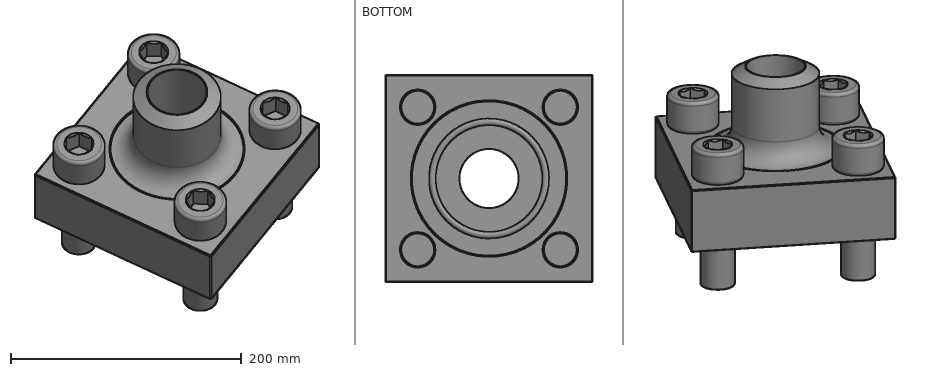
import cadquery as cq
import math


plate_width = 180.0
plate_thickness = 58.0
edge_chamfer = 1.0
plate_bore_diameter = 115.5
collar_recess_diameter = 136.0
bolt_hole_diameter = 31.0
bolt_spacing = 123.7

pipe_diameter = 76.1
pipe_bore_diameter = 51.1
hub_diameter = 115.0
collar_diameter = 135.0
collar_thickness = 25.2
collar_projection = 2.2
collar_chamfer = 0.7
neck_rise = 74.9
bevel_angle = 30.0
bevel_top_diameter = 53.0

groove_inner_diameter = 92.5
groove_outer_diameter = 104.2
seal_projection = 1.5

bolt_diameter = 30.0
bolt_length = 100.0
bolt_end_chamfer = 0.9
head_diameter = 45.0
head_height = bolt_diameter
head_edge_radius = 3.0
socket_corner_diameter = 25.4
socket_depth = 18.0
socket_chamfer_angle = 45.0

seal_section = (groove_outer_diameter - groove_inner_diameter) / 2
collar_bottom = -collar_projection
collar_top = collar_bottom + collar_thickness
neck_top = plate_thickness + neck_rise
seal_bottom = collar_bottom - seal_projection
groove_floor = seal_bottom + seal_section


def make_plate():
    """Chamfered square plate with a stepped bore for the neck and four bolt holes."""
    plate = (
        cq.Workplane("XY")
        .box(plate_width, plate_width, plate_thickness, centered=(True, True, False))
        .edges()
        .chamfer(edge_chamfer)
    )
    bore = (
        cq.Workplane("XY")
        .circle(plate_bore_diameter / 2)
        .extrude(plate_thickness - edge_chamfer)
        .faces(">Z")
        .workplane()
        .circle(plate_bore_diameter / 2)
        .workplane(offset=edge_chamfer)
        .circle(plate_bore_diameter / 2 + edge_chamfer)
        .loft()
    )
    collar_recess = cq.Workplane("XY").circle(collar_recess_diameter / 2).extrude(collar_top)
    bolt_holes = (
        cq.Workplane("XY")
        .rect(bolt_spacing, bolt_spacing, forConstruction=True)
        .vertices()
        .circle(bolt_hole_diameter / 2)
        .extrude(plate_thickness)
    )
    return plate.cut(bore).cut(collar_recess).cut(bolt_holes)


def make_neck():
    """Revolved weld neck: collar, hub, concave flare, pipe and weld bevel, with a seal groove."""
    bore_radius = pipe_bore_diameter / 2
    pipe_radius = pipe_diameter / 2
    hub_radius = hub_diameter / 2
    collar_radius = collar_diameter / 2
    flare_radius = hub_radius - pipe_radius
    flare_top = plate_thickness + flare_radius
    flare_reach = flare_radius * math.sqrt(0.5)
    bevel_radius = bevel_top_diameter / 2
    bevel_height = (pipe_radius - bevel_radius) * math.tan(math.radians(bevel_angle))

    body = (
        cq.Workplane("XZ")
        .moveTo(bore_radius, collar_bottom)
        .lineTo(collar_radius - collar_chamfer, collar_bottom)
        .lineTo(collar_radius, collar_bottom + collar_chamfer)
        .lineTo(collar_radius, collar_top)
        .lineTo(hub_radius, collar_top)
        .lineTo(hub_radius, plate_thickness)
        .threePointArc(
            (hub_radius - flare_reach, flare_top - flare_reach),
            (pipe_radius, flare_top),
        )
        .lineTo(pipe_radius, neck_top - bevel_height)
        .lineTo(bevel_radius, neck_top)
        .lineTo(bore_radius, neck_top)
        .close()
        .revolve(360, (0, 0, 0), (0, 1, 0))
    )
    groove = (
        cq.Workplane("XY", origin=(0, 0, collar_bottom))
        .circle(groove_outer_diameter / 2)
        .circle(groove_inner_diameter / 2)
        .extrude(groove_floor - collar_bottom)
    )
    return body.cut(groove)


def make_seal():
    """Round-section ring as wide as the groove, resting on the groove floor."""
    section_radius = seal_section / 2
    ring_radius = groove_outer_diameter / 2 - section_radius
    return cq.Workplane(
        cq.Solid.makeTorus(ring_radius, section_radius, cq.Vector(0, 0, seal_bottom + section_radius))
    )


def make_bolt():
    """Socket head bolt on the Z axis, with the underside of its head on the plate top."""
    shank = (
        cq.Workplane("XY", origin=(0, 0, plate_thickness))
        .circle(bolt_diameter / 2)
        .extrude(-bolt_length)
        .faces("<Z")
        .chamfer(bolt_end_chamfer)
    )
    head = (
        cq.Workplane("XY", origin=(0, 0, plate_thickness))
        .circle(head_diameter / 2)
        .extrude(head_height)
        .faces("<Z or >Z")
        .edges()
        .fillet(head_edge_radius)
    )
    head_top = plate_thickness + head_height
    socket = (
        cq.Workplane("XY", origin=(0, 0, head_top))
        .polygon(6, socket_corner_diameter)
        .extrude(-socket_depth)
    )
    mouth_radius = socket_corner_diameter / 2
    cone_depth = mouth_radius * math.tan(math.radians(socket_chamfer_angle))
    lead_in = cq.Workplane(
        cq.Solid.makeCone(mouth_radius, 0, cone_depth, cq.Vector(0, 0, head_top), cq.Vector(0, 0, -1))
    )
    return head.union(shank).cut(socket).cut(lead_in)


def place_bolts():
    """Four bolts, each turned a quarter turn about the pipe axis from the one before."""
    first_bolt = make_bolt().translate((bolt_spacing / 2, bolt_spacing / 2, 0))
    bolts = []
    for quarter in range(4):
        bolts.append(first_bolt.rotate((0, 0, 0), (0, 0, 1), 90 * quarter))
    return bolts


plate = make_plate()
neck = make_neck()
seal = make_seal()
bolts = place_bolts()

result = cq.Compound.makeCompound(
    [plate.val(), neck.val(), seal.val(), *[bolt.val() for bolt in bolts]]
)